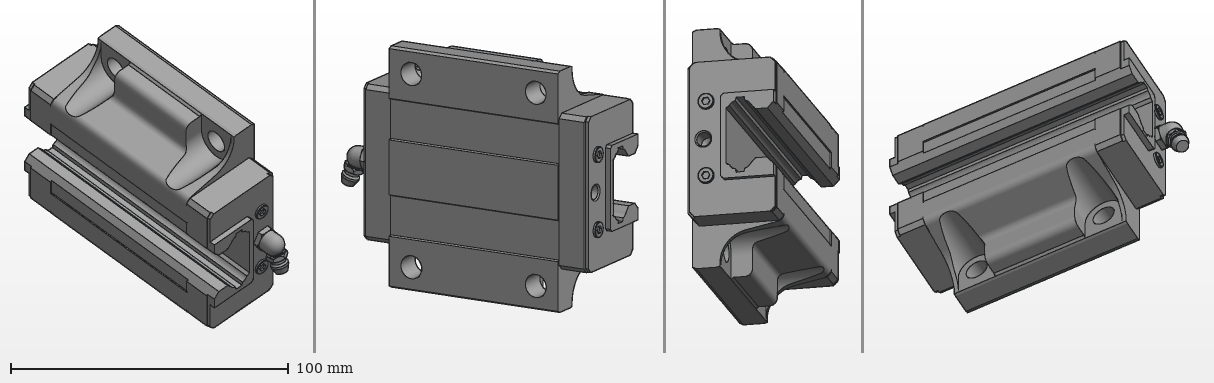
import cadquery as cq
import math


overall_length = 107.6
overall_depth = 34.0
flange_half_width = 45.0

block_length = 70.3
flange_depth = 10.2
flange_back_chamfer = (1.4, 0.8)
flange_front_chamfer = (1.1, 0.3)
slope_angle = 11.0
slope_start_depth = 20.1
slope_start_height = 31.6
flange_root_radius = 12.2
outer_corner_radius = 2.9

pad_depth = 18.2
pad_half_width = 43.9
pad_step = 1.0
pad_corner_radius = 2.9
pad_root_radius = 2.7

bolt_pitch_x = 51.9
bolt_pitch_z = 72.0
bolt_hole_radius = 4.3
bolt_seat_radius = 7.5

back_relief_depth = 0.8
back_relief_inner = 10.2
back_relief_outer = 25.7
back_relief_taper = 0.4
front_recess_depth = 0.5
front_recess_outer = 17.6

cap_half_length = 45.5
plate_half_length = 46.8
lip_half_length = 49.0
cap_half_width = 29.0
cap_back_depth = 1.0
plate_back_depth = 1.9
plate_front_depth = 33.6
cap_chamfer = 1.7
lip_back_depth = 14.0
lip_half_width = 16.0
lip_chamfer = 1.0

channel_depth = 15.9
channel_half_width = 10.3
mouth_half_width = 9.3
mouth_flat_start = 26.9
mouth_flat_end = 31.3
mouth_chamfer_height = 2.8
relief_slot_start = 19.7
relief_slot_end = 22.6
relief_slot_half_width = 14.1
relief_slot_flare = 0.3
race_edge_height = 11.2
race_root_height = 12.8
race_width = 2.2
race_sag = 0.2

screw_depth = 8.1
screw_half_pitch = 14.0
screw_radius = 2.9
screw_height = 1.0
screw_chamfer = 0.2
screw_socket_corners = 3.0
screw_socket_depth = 0.8

port_depth = 7.0
port_radius = 2.6
port_mouth_radius = 3.1
port_length = 7.5
port_tip_length = 1.5
stem_length = 5.4
base_hex_corners = 9.6
base_hex_length = 2.2
base_hex_chamfer = 0.4
elbow_radius = 4.1
outlet_angle = 67.5
collar_hex_corners = 8.2
collar_start = 3.4
collar_end = 5.6
collar_chamfer = 0.6
neck_radius = 2.7
neck_end = 7.0
head_radius = 3.3
head_start = 7.7
head_end = 8.6
tip_end = 11.2
tip_radius = 2.4

flank_slope = math.tan(math.radians(slope_angle))
half_block = block_length / 2
outlet_cos = math.cos(math.radians(outlet_angle))
outlet_sin = math.sin(math.radians(outlet_angle))
elbow_x = overall_length - lip_half_length - tip_end * outlet_cos - tip_radius * outlet_sin


def flank_height(depth):
    """Height of the tapered outer flank at a given depth."""
    return slope_start_height - (depth - slope_start_depth) * flank_slope


def prism(points, half_length):
    """Extrude a (depth, height) outline symmetrically along X."""
    outline = [(-depth, height) for depth, height in points]
    return cq.Workplane("YZ").polyline(outline).close().extrude(half_length, both=True)


def round_edge(solid, depth, height, radius):
    """Fillet the X-parallel edge that runs through (depth, height)."""
    return solid.edges(cq.NearestToPointSelector((0, -depth, height))).fillet(radius)


def with_mirror(solid):
    """Join a solid with its mirror image about Z = 0."""
    return solid.union(solid.mirror("XY"))


def half_flange():
    """Upper half of the block: thin flange blending into the tapered flank."""
    back_d, back_h = flange_back_chamfer
    front_d, front_h = flange_front_chamfer
    solid = prism([
        (0, 0),
        (0, flange_half_width - back_h),
        (back_d, flange_half_width),
        (flange_depth - front_d, flange_half_width),
        (flange_depth, flange_half_width - front_h),
        (flange_depth, flank_height(flange_depth)),
        (overall_depth, flank_height(overall_depth)),
        (overall_depth, 0),
    ], half_block)
    solid = round_edge(solid, flange_depth, flank_height(flange_depth), flange_root_radius)
    return round_edge(solid, overall_depth, flank_height(overall_depth), outer_corner_radius)


def half_pad():
    """Thicker pad on the flange, reaching from bolt axis to bolt axis."""
    solid = prism([
        (0, 0),
        (0, pad_half_width),
        (flange_depth, flange_half_width - flange_front_chamfer[1]),
        (flange_depth + pad_step, pad_half_width),
        (pad_depth, pad_half_width),
        (pad_depth, flank_height(pad_depth)),
        (mouth_flat_start, flank_height(mouth_flat_start)),
        (mouth_flat_start, 0),
    ], bolt_pitch_x / 2)
    solid = round_edge(solid, pad_depth, flank_height(pad_depth), pad_root_radius)
    return round_edge(solid, pad_depth, pad_half_width, pad_corner_radius)


def bolt_cutter(x):
    """Through hole plus the U-shaped seat that opens outward in +Z."""
    z = bolt_pitch_z / 2
    face = cq.Workplane("XZ").center(x, z)
    hole = face.circle(bolt_hole_radius).extrude(overall_depth)
    seat_plane = face.workplane(offset=flange_depth)
    seat = seat_plane.circle(bolt_seat_radius).extrude(overall_depth - flange_depth)
    open_height = flange_half_width - z
    opening = (
        seat_plane.center(0, open_height / 2)
        .rect(2 * bolt_seat_radius, open_height)
        .extrude(overall_depth - flange_depth)
    )
    return hole.union(seat).union(opening)


def half_back_relief():
    """Shallow tapered groove in the mounting face."""
    return prism([
        (0, back_relief_inner),
        (back_relief_depth, back_relief_inner + back_relief_taper),
        (back_relief_depth, back_relief_outer - back_relief_taper),
        (0, back_relief_outer),
    ], half_block)


def half_front_recess():
    """Shallow recess in the front face beside the channel mouth."""
    floor = overall_depth - front_recess_depth
    return prism([
        (floor, 0),
        (floor, front_recess_outer),
        (overall_depth, front_recess_outer),
        (overall_depth, 0),
    ], half_block)


def chamfered_plate(back, front, half_width, half_length):
    """Rectangular section with four chamfered corners, extruded along X."""
    center = -(back + front) / 2
    return (
        cq.Workplane("YZ").center(center, 0)
        .rect(front - back, 2 * half_width)
        .extrude(half_length, both=True)
        .edges("|X").chamfer(cap_chamfer)
    )


def seal_lip():
    """Raised lip round the channel at both ends."""
    return prism([
        (lip_back_depth, -lip_half_width + lip_chamfer),
        (lip_back_depth, lip_half_width - lip_chamfer),
        (lip_back_depth + lip_chamfer, lip_half_width),
        (plate_front_depth, lip_half_width),
        (plate_front_depth, -lip_half_width),
        (lip_back_depth + lip_chamfer, -lip_half_width),
    ], lip_half_length)


def half_channel():
    """Rail channel with two curved ball races and a flared relief slot between them."""
    slot_center = (relief_slot_start + relief_slot_end) / 2
    upper_root = relief_slot_start - relief_slot_flare
    lower_root = relief_slot_end + relief_slot_flare
    upper_edge = upper_root - race_width
    lower_edge = lower_root + race_width

    def race_middle(edge, root):
        """Middle point of a race arc, bulging into the steel."""
        depth = (edge + root) / 2
        outward = math.copysign(race_sag, depth - slot_center)
        return (-depth - outward, (race_edge_height + race_root_height) / 2 + race_sag)

    outline = (
        cq.Workplane("YZ")
        .moveTo(-channel_depth, 0)
        .lineTo(-channel_depth, channel_half_width)
        .lineTo(-upper_edge, race_edge_height)
        .threePointArc(race_middle(upper_edge, upper_root), (-upper_root, race_root_height))
        .lineTo(-relief_slot_start, relief_slot_half_width)
        .lineTo(-relief_slot_end, relief_slot_half_width)
        .lineTo(-lower_root, race_root_height)
        .threePointArc(race_middle(lower_edge, lower_root), (-lower_edge, race_edge_height))
        .lineTo(-mouth_flat_start, mouth_half_width)
        .lineTo(-mouth_flat_end, mouth_half_width)
        .lineTo(-overall_depth, mouth_half_width + mouth_chamfer_height)
        .lineTo(-overall_depth, 0)
        .close()
    )
    return outline.extrude(lip_half_length, both=True)


def end_plane(depth, height):
    """Workplane on the +X seal plate, facing +X."""
    return cq.Workplane("YZ", origin=(plate_half_length, -depth, height))


def screw_head(height):
    """Low cap-screw head with a hexagon socket, on the +X end."""
    head = end_plane(screw_depth, height).circle(screw_radius).extrude(screw_height)
    head = head.faces(">X").chamfer(screw_chamfer)
    socket = (
        head.faces(">X").workplane(centerOption="CenterOfBoundBox")
        .polygon(6, screw_socket_corners).extrude(-screw_socket_depth, combine=False)
    )
    return head.cut(socket)


def port_cutter():
    """Drilled grease port with a countersunk mouth, entering the +X end."""
    countersink = port_mouth_radius - port_radius
    profile = [
        (0, 0),
        (0, port_mouth_radius),
        (-countersink, port_radius),
        (-port_length, port_radius),
        (-port_length - port_tip_length, 0),
    ]
    return (
        cq.Workplane("XY", origin=(plate_half_length, -port_depth, 0))
        .polyline(profile).close()
        .revolve(360, (0, 0, 0), (1, 0, 0))
    )


def make_housing():
    """Steel block with end caps, seals and cap screws as one body."""
    half = half_flange().union(half_pad())
    for x in (-bolt_pitch_x / 2, bolt_pitch_x / 2):
        half = half.cut(bolt_cutter(x))
    half = half.cut(half_back_relief()).cut(half_front_recess())
    body = with_mirror(half)

    caps = chamfered_plate(cap_back_depth, overall_depth, cap_half_width, cap_half_length)
    plates = chamfered_plate(plate_back_depth, plate_front_depth, cap_half_width, plate_half_length)
    ends = caps.union(plates).union(seal_lip())
    block_zone = cq.Workplane("XY").box(block_length, 2 * overall_depth, 2 * flange_half_width)
    body = body.union(ends.cut(block_zone))
    body = body.cut(with_mirror(half_channel()))

    for height in (-screw_half_pitch, screw_half_pitch):
        head = screw_head(height)
        body = body.union(head).union(head.mirror("YZ"))
    port = port_cutter()
    return body.cut(port).cut(port.mirror("YZ"))


def make_nipple():
    """Elbow grease nipple screwed into the +X port."""
    face = end_plane(port_depth, 0)
    stem = face.circle(port_radius).extrude(-stem_length)

    base = face.polygon(6, base_hex_corners).extrude(base_hex_length)
    base_envelope = (
        face.circle(base_hex_corners / 2).extrude(base_hex_length)
        .faces(">X").chamfer(base_hex_chamfer)
    )
    base = base.intersect(base_envelope)

    inlet = face.circle(elbow_radius).extrude(elbow_x - plate_half_length)
    elbow_center = (elbow_x, -port_depth, 0)
    elbow = cq.Workplane("XY", origin=elbow_center).sphere(elbow_radius)

    outlet_axis = cq.Vector(outlet_cos, 0, -outlet_sin)
    outlet_side = cq.Vector(outlet_sin, 0, outlet_cos)
    outlet_plane = cq.Plane(elbow_center, xDir=outlet_side, normal=outlet_axis)
    collar_face = cq.Workplane(outlet_plane).workplane(offset=collar_start)
    collar_length = collar_end - collar_start
    collar = collar_face.polygon(6, collar_hex_corners).extrude(collar_length)
    collar_envelope = (
        collar_face.circle(collar_hex_corners / 2).extrude(collar_length)
        .faces("%PLANE").chamfer(collar_chamfer)
    )
    collar = collar.intersect(collar_envelope)

    head_profile = [
        (0, 0),
        (neck_radius, 0),
        (neck_radius, neck_end),
        (head_radius, head_start),
        (head_radius, head_end),
        (tip_radius, tip_end),
        (0, tip_end),
    ]
    leg_plane = cq.Plane(elbow_center, xDir=outlet_side, normal=(0, -1, 0))
    head = (
        cq.Workplane(leg_plane)
        .polyline([(radius, -along) for radius, along in head_profile]).close()
        .revolve(360, (0, 0, 0), (0, 1, 0))
    )
    nipple = stem.union(base).union(inlet).union(elbow)
    return nipple.union(collar).union(head)


housing = make_housing()
nipple = make_nipple()
result = cq.Compound.makeCompound([housing.val(), nipple.val()])